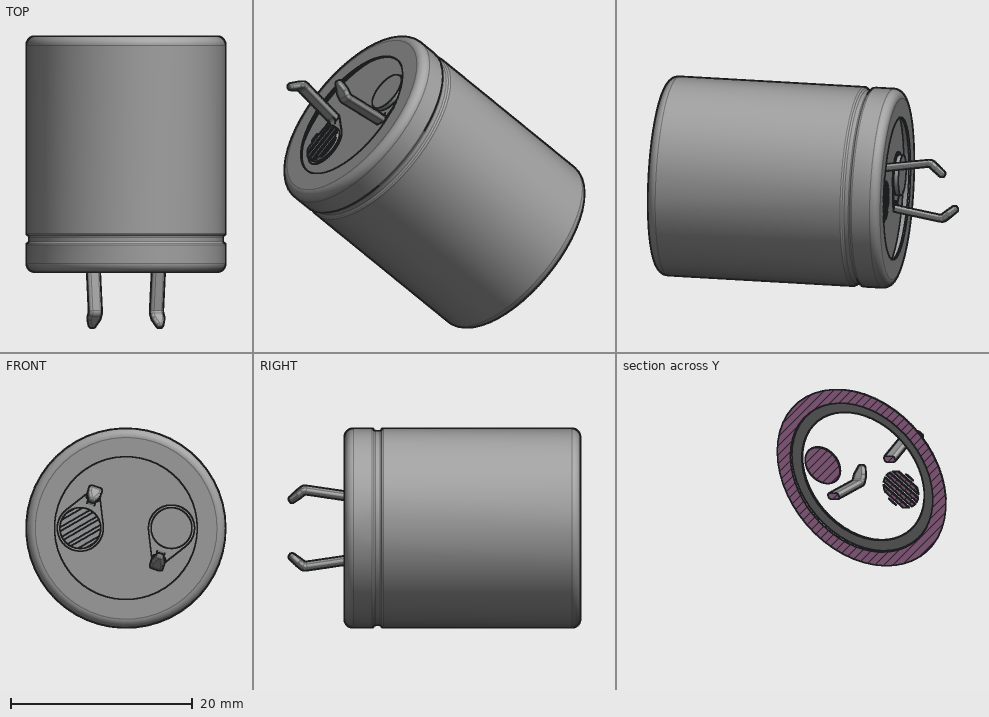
import cadquery as cq
import math


total_length = 32.15
pin_reach = 6.15
can_length = total_length - pin_reach
can_radius = 21.98 / 2
end_rounding = 1.0

groove_start = 3.02
groove_end = 4.3
groove_depth = 0.273
groove_flank = 0.42

lip_diameter = 15.72
lip_thickness = 0.2
cavity_diameter = 18.22
floor_depth = 1.0

rivet_offset = 5.0
rivet_diameter = 4.5
rivet_height = 0.5
tab_radius = 2.55
tab_thickness = 0.1
tab_face = floor_depth - tab_thickness
rivet_top = tab_face - rivet_height

stripe_width = 0.4
stripe_pitch = 1.0
stripe_depth = 0.2
stripe_angle = 30.0
stripe_count = 5
stripe_overrun = 0.15
stripe_length = rivet_diameter + 2 * stripe_overrun

pin_offset = 3.57
pin_width = 1.5
pin_thickness = 0.77
pin_rounding = 0.32
pin_embed = 0.48
foot_radius = 0.55
pin_twist = 18.0
lean_angle = math.radians(8.8)
hook_angle = math.radians(40.0)
bend_reach = 4.3
bend_height = bend_reach * math.tan(lean_angle) - pin_thickness / 2 / math.cos(lean_angle)
tip_width = 0.45
taper_length = 1.15


def can_body():
    """Closed can with rounded ends and one rolled groove, revolved about Y."""
    half_flank = groove_flank / 2
    half_depth = groove_depth / 2
    corner = end_rounding * (1 - math.sqrt(0.5))
    return (
        cq.Workplane("XY")
        .lineTo(can_radius - end_rounding, 0)
        .threePointArc((can_radius - corner, corner), (can_radius, end_rounding))
        .lineTo(can_radius, groove_start)
        .tangentArcPoint((-half_depth, half_flank))
        .tangentArcPoint((-half_depth, half_flank))
        .lineTo(can_radius - groove_depth, groove_end - groove_flank)
        .tangentArcPoint((half_depth, half_flank))
        .tangentArcPoint((half_depth, half_flank))
        .lineTo(can_radius, can_length - end_rounding)
        .threePointArc(
            (can_radius - corner, can_length - corner),
            (can_radius - end_rounding, can_length),
        )
        .lineTo(0, can_length)
        .close()
        .revolve(360, (0, 0, 0), (0, 1, 0))
    )


def disc(diameter, y_start, y_end, x=0.0):
    """Cylinder along Y between two stations."""
    return (
        cq.Workplane("XZ", origin=(x, y_end, 0))
        .circle(diameter / 2)
        .extrude(y_end - y_start)
    )


def place_pin(point_across, point_out):
    """X and Z of a point given across and along the twisted pin, from the pin centre."""
    twist = math.radians(pin_twist)
    x = -pin_offset + point_across * math.cos(twist) + point_out * math.sin(twist)
    z = pin_offset - point_across * math.sin(twist) + point_out * math.cos(twist)
    return x, z


def tab():
    """Thin teardrop plate joining the rivet to the foot of the pin."""
    outline = (
        cq.Sketch()
        .arc((-rivet_offset, 0), tab_radius, 0, 360)
        .segment(place_pin(-pin_width / 2, 0), place_pin(pin_width / 2, 0))
        .hull()
    )
    return cq.Workplane("XZ", origin=(0, floor_depth, 0)).placeSketch(outline).extrude(tab_thickness)


def leg_point(angle, along, out):
    """Y and Z of a point measured along and square to a pin leg, from the inside corner of the bend."""
    y = -bend_reach - along * math.cos(angle) + out * math.sin(angle)
    z = bend_height + along * math.sin(angle) + out * math.cos(angle)
    return y, z


def straight_pin():
    """Flat pin leaning outward, hooked inward, tapered and rounded; its width runs along X."""
    rounding_loss = pin_rounding * (math.sin(hook_angle) + math.cos(hook_angle) - 1)
    corner_reach = pin_reach + rounding_loss
    hook_rise = corner_reach - bend_reach - pin_thickness * math.sin(hook_angle)
    hook_length = hook_rise / math.cos(hook_angle)
    foot_along = -(bend_reach + floor_depth + pin_embed) / math.cos(lean_angle)
    middle_angle = (lean_angle - hook_angle) / 2
    side = (
        cq.Workplane("YZ", origin=(-pin_width / 2, 0, 0))
        .moveTo(*leg_point(lean_angle, 0, 0))
        .lineTo(*leg_point(lean_angle, foot_along, 0))
        .lineTo(*leg_point(lean_angle, foot_along, pin_thickness))
        .lineTo(*leg_point(lean_angle, 0, pin_thickness))
        .threePointArc(
            leg_point(middle_angle, 0, pin_thickness),
            leg_point(-hook_angle, 0, pin_thickness),
        )
        .lineTo(*leg_point(-hook_angle, hook_length, pin_thickness))
        .lineTo(*leg_point(-hook_angle, hook_length, 0))
        .close()
        .extrude(pin_width)
    )
    taper_start = taper_length - corner_reach
    taper = (
        cq.Workplane("XY", origin=(0, 0, -can_radius))
        .moveTo(-pin_width / 2, can_length)
        .lineTo(-pin_width / 2, taper_start)
        .lineTo(-tip_width / 2, -corner_reach)
        .lineTo(tip_width / 2, -corner_reach)
        .lineTo(pin_width / 2, taper_start)
        .lineTo(pin_width / 2, can_length)
        .close()
        .extrude(2 * can_radius)
    )
    return side.intersect(taper).edges().fillet(pin_rounding)


def pin_foot():
    """Concave bend between the tab face and the inner face of the pin."""
    tangent = foot_radius * math.tan((math.pi / 2 - lean_angle) / 2)
    corner_along = -(bend_reach + tab_face) / math.cos(lean_angle)
    corner_y, corner_z = leg_point(lean_angle, corner_along, 0)
    centre_y = corner_y - foot_radius
    centre_z = corner_z - tangent
    to_corner = math.atan2(tangent, foot_radius)
    arc_middle = (
        centre_y + foot_radius * math.cos(to_corner),
        centre_z + foot_radius * math.sin(to_corner),
    )
    foot_width = pin_width - 2 * pin_rounding
    inside_z = corner_z + pin_thickness / 2
    return (
        cq.Workplane("YZ", origin=(-foot_width / 2, 0, 0))
        .moveTo(corner_y, centre_z)
        .threePointArc(arc_middle, leg_point(lean_angle, corner_along + tangent, 0))
        .lineTo(corner_y - tangent, inside_z)
        .lineTo(floor_depth, inside_z)
        .lineTo(floor_depth, centre_z)
        .close()
        .extrude(foot_width)
    )


def pin():
    """Pin with its foot, turned about Y and set in place."""
    x, z = place_pin(0, 0)
    upright = straight_pin().union(pin_foot())
    return upright.rotate((0, 0, 0), (0, 1, 0), pin_twist).translate((x, 0, z))


def terminal():
    """Pin, tab and rivet of the negative pole."""
    rivet = disc(rivet_diameter, rivet_top, floor_depth, -rivet_offset)
    return tab().union(rivet).union(pin())


def stripes():
    """Parallel slots across the top of the negative rivet."""
    return (
        cq.Workplane("XZ", origin=(-rivet_offset, rivet_top + stripe_depth, 0))
        .transformed(rotate=(0, 0, stripe_angle))
        .rarray(0.32, stripe_pitch, 1, stripe_count)
        .rect(stripe_length, stripe_width)
        .extrude(stripe_depth)
    )


body = (
    can_body()
    .cut(disc(lip_diameter, 0, floor_depth))
    .cut(disc(cavity_diameter, lip_thickness, floor_depth))
)
negative = terminal()
positive = negative.rotate((0, 0, 0), (0, 1, 0), 180)
result = body.union(negative.cut(stripes())).union(positive)